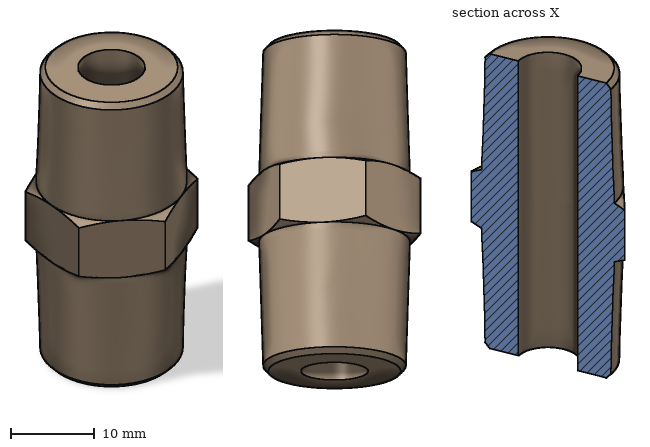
import cadquery as cq

total_length = 40.0
across_flats = 18.0
hex_height = 8.0
bore_diameter = 8.0

collar_diameter = across_flats
collar_height = 0.75
tip_diameter = 17.1
tip_chamfer_radial = 0.65
tip_chamfer_height = 0.7

bevel_drop = 0.6

half_length = total_length / 2
half_hex = hex_height / 2
flat_radius = across_flats / 2
across_corners = across_flats * 2 / 3**0.5
corner_radius = across_corners / 2


def revolve_half_profile(points):
    """Revolve an upper-half (radius, z) outline about Z and mirror it below z = 0."""
    upper = cq.Workplane("XZ").polyline(points).close().revolve(360, (0, 0, 0), (0, 1, 0))
    return upper.union(upper.mirror("XY"))


def make_hexagon():
    """Hexagon with flats facing +X and -X, its corners bevelled at both faces."""
    prism = (
        cq.Workplane("XY")
        .workplane(offset=-half_hex)
        .transformed(rotate=(0, 0, 90))
        .polygon(6, across_corners)
        .extrude(hex_height)
    )
    bevel_envelope = revolve_half_profile([
        (0, 0),
        (corner_radius, 0),
        (corner_radius, half_hex - bevel_drop),
        (flat_radius, half_hex),
        (0, half_hex),
    ])
    return prism.intersect(bevel_envelope)


def make_tapered_ends():
    """Straight collar beside the hexagon, then a taper ending in a chamfered tip."""
    collar_radius = collar_diameter / 2
    tip_radius = tip_diameter / 2
    return revolve_half_profile([
        (0, 0),
        (collar_radius, 0),
        (collar_radius, half_hex + collar_height),
        (tip_radius, half_length - tip_chamfer_height),
        (tip_radius - tip_chamfer_radial, half_length),
        (0, half_length),
    ])


bore = cq.Workplane("XY").circle(bore_diameter / 2).extrude(half_length, both=True)

result = make_hexagon().union(make_tapered_ends()).cut(bore)